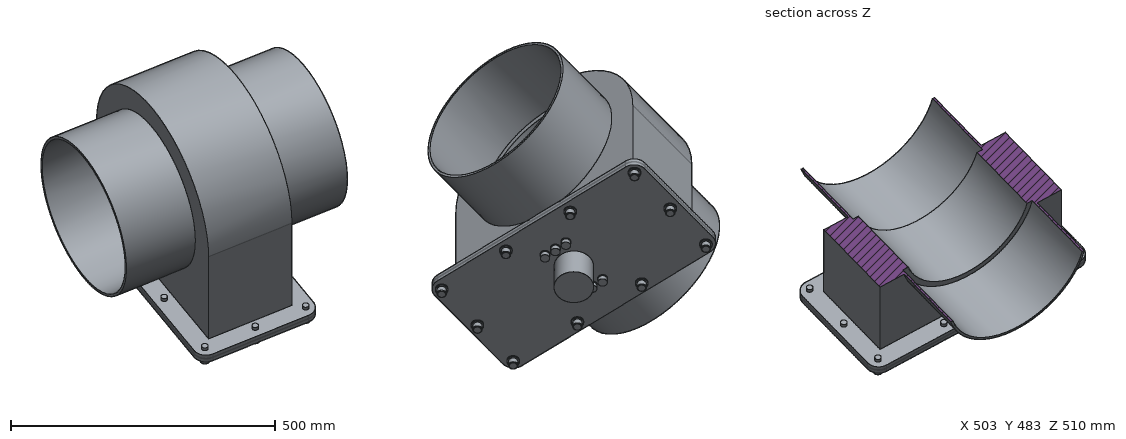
import cadquery as cq

duct_length = 483.0
total_height = 510.0

housing_radius = 212.0
housing_depth = 182.0
housing_base_z = -217.5
socket_recess = 10.0

duct_outer_dia = 324.0
duct_inner_dia = 313.5
bore_dia = 290.0

flange_length = 503.0
flange_width = 261.0
flange_corner_radius = 26.0
plate_thickness = 8.0
gasket_thickness = 1.5
flange_bottom_z = housing_base_z - 2 * plate_thickness - gasket_thickness

spigot_dia = 75.0
spigot_bottom_z = housing_radius - total_height

bolt_edge_distance = 20.5
bolts_per_long_side = 4
bolt_dia = 12.0
bolt_protrusion = 7.0
washer_dia = 24.0
washer_thickness = 3.0
bolt_head_dia = 18.0
bolt_head_height = 13.5
bolt_head_chamfer = 1.5

screw_head_dia = 18.0
screw_head_height = 12.0
screw_collar_dia = 19.0
screw_collar_height = 2.5
screw_pitch = 25.0
screws_per_row = 3
screw_row_offset = 56.5


def cylinder_up(x, y, bottom_z, dia, height):
    """Vertical cylinder standing on bottom_z."""
    return cq.Workplane("XY", origin=(x, y, bottom_z)).circle(dia / 2).extrude(height)


def cylinder_along_duct(dia, length):
    """Cylinder on the duct axis, centred on the housing."""
    return cq.Workplane("XZ").circle(dia / 2).extrude(length / 2, both=True)


def housing():
    return (
        cq.Workplane("XZ")
        .moveTo(-housing_radius, housing_base_z)
        .lineTo(-housing_radius, 0)
        .threePointArc((0, housing_radius), (housing_radius, 0))
        .lineTo(housing_radius, housing_base_z)
        .close()
        .extrude(housing_depth / 2, both=True)
    )


def duct_cavity():
    """Through bore, widened to the socket diameter up to a ledge inside each housing face."""
    bore_length = housing_depth - 2 * socket_recess
    sockets = cylinder_along_duct(duct_inner_dia, duct_length)
    sockets = sockets.cut(cylinder_along_duct(duct_inner_dia, bore_length))
    return sockets.union(cylinder_along_duct(bore_dia, duct_length))


def flange_layer(bottom_z, thickness):
    return (
        cq.Workplane("XY", origin=(0, 0, bottom_z))
        .rect(flange_length, flange_width)
        .extrude(thickness)
        .edges("|Z")
        .fillet(flange_corner_radius)
    )


def flange_bolt(x, y):
    """Shank end above the flange, washer and chamfered head below it."""
    washer_bottom_z = flange_bottom_z - washer_thickness
    head_bottom_z = washer_bottom_z - bolt_head_height
    shank_length = housing_base_z + bolt_protrusion - head_bottom_z
    shank = cylinder_up(x, y, head_bottom_z, bolt_dia, shank_length)
    washer = cylinder_up(x, y, washer_bottom_z, washer_dia, washer_thickness)
    head = cylinder_up(x, y, head_bottom_z, bolt_head_dia, bolt_head_height)
    head = head.faces("<Z").chamfer(bolt_head_chamfer)
    return shank.union(washer).union(head)


def screw_head(x, y):
    """Plain round head with a slightly wider collar against the flange."""
    collar_bottom_z = flange_bottom_z - screw_collar_height
    head_bottom_z = flange_bottom_z - screw_head_height
    collar = cylinder_up(x, y, collar_bottom_z, screw_collar_dia, screw_collar_height)
    return cylinder_up(x, y, head_bottom_z, screw_head_dia, screw_head_height).union(collar)


def bolt_positions():
    """Evenly spaced bolts on the long sides, plus one midway on each short side."""
    x_end = flange_length / 2 - bolt_edge_distance
    y_side = flange_width / 2 - bolt_edge_distance
    pitch = 2 * x_end / (bolts_per_long_side - 1)
    positions = [(-x_end, 0), (x_end, 0)]
    for i in range(bolts_per_long_side):
        for y in (-y_side, y_side):
            positions.append((-x_end + i * pitch, y))
    return positions


def screw_positions():
    positions = []
    for i in range(screws_per_row):
        x = (i - (screws_per_row - 1) / 2) * screw_pitch
        for y in (-screw_row_offset, screw_row_offset):
            positions.append((x, y))
    return positions


result = housing().union(cylinder_along_duct(duct_outer_dia, duct_length))
result = result.cut(duct_cavity())

spigot_height = flange_bottom_z - spigot_bottom_z
attachments = cylinder_up(0, 0, spigot_bottom_z, spigot_dia, spigot_height)
for x, y in bolt_positions():
    attachments = attachments.union(flange_bolt(x, y))
for x, y in screw_positions():
    attachments = attachments.union(screw_head(x, y))

gasket_bottom_z = flange_bottom_z + plate_thickness
upper_plate_bottom_z = gasket_bottom_z + gasket_thickness
flange = flange_layer(flange_bottom_z, plate_thickness)
flange = flange.union(flange_layer(gasket_bottom_z, gasket_thickness), clean=False)
flange = flange.union(flange_layer(upper_plate_bottom_z, plate_thickness), clean=False)

result = result.union(flange, clean=False).union(attachments, clean=False)